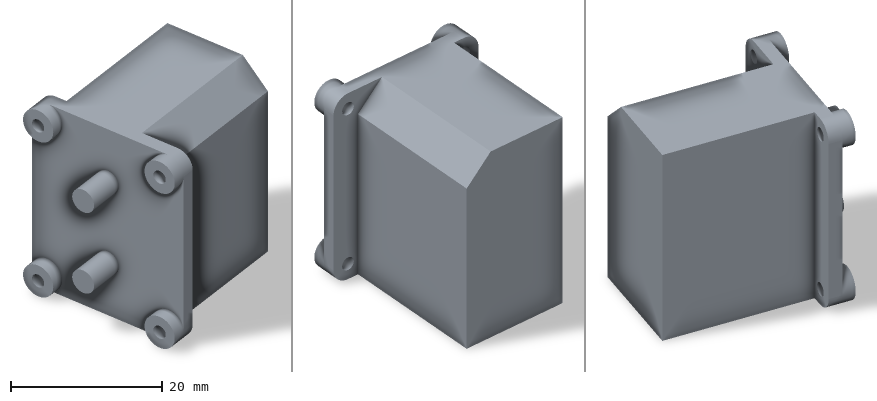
import cadquery as cq

flange_width = 25.0
flange_height = 30.0
flange_thickness = 2.0

boss_radius = 2.5
boss_length = 4.0
hole_diameter = 2.0
boss_x = flange_width / 2 - boss_radius
boss_z = flange_height / 2 - boss_radius

housing_width = 16.55
housing_depth = 22.47
bevel_size = 4.15

pin_diameter = 3.6
pin_length = 5.5
pin_spacing = 13.02


def box(width, depth, height, y_start):
    """Box centred on X and Z, running from y_start toward +Y."""
    return cq.Workplane("XY").box(width, depth, height).translate((0, y_start + depth / 2, 0))


def cylinders(points, diameter, length, y_back):
    """Cylinders at (x, z) points, running from y_back toward -Y."""
    plane = cq.Workplane("XZ", origin=(0, y_back, 0))
    return plane.pushPoints(points).circle(diameter / 2).extrude(length)


corners = [(x, z) for x in (-boss_x, boss_x) for z in (-boss_z, boss_z)]

flange = box(flange_width, flange_thickness, flange_height, -flange_thickness)
flange = flange.edges("|Y").fillet(boss_radius)
bosses = cylinders(corners, 2 * boss_radius, boss_length, 0)
holes = cylinders(corners, hole_diameter, boss_length, 0)

housing = box(housing_width, housing_depth, flange_height, 0)
housing = housing.faces(">X").edges(">Z").chamfer(bevel_size)

pin_points = [(0, -pin_spacing / 2), (0, pin_spacing / 2)]
pins = cylinders(pin_points, pin_diameter, pin_length, -flange_thickness)

result = flange.union(housing).union(bosses).union(pins).cut(holes)